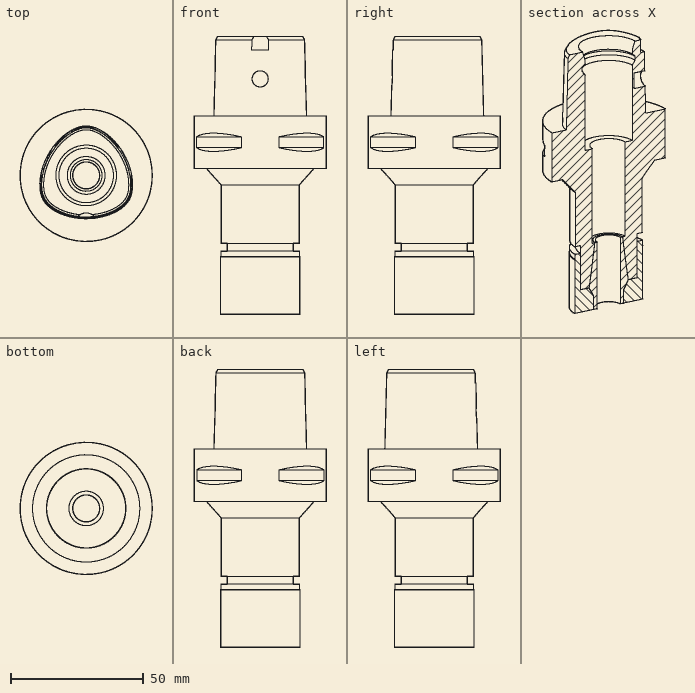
import cadquery as cq
import math

total_height = 105.0
flange_top = 75.0
flange_bottom = 55.0
cone_bottom = 48.9
barrel_bottom = 26.9
nut_top = 23.9
collar_bottom = 21.9

flange_radius = 25.0
cone_top_radius = 20.3
barrel_radius = 14.8
neck_radius = 12.5

shank_radius = 17.5
lobe_height = 1.2
shank_taper = 1 / 40
outline_points = 120
tip_chamfer_height = 1.4
tip_chamfer_width = 0.7

notch_depth = 5.1
notch_radius = 4.4
notch_center_y = -18.6
side_hole_radius = 3.0
side_hole_z = 88.9
side_hole_floor_y = -11.3

slot_count = 4
slot_floor_distance = 21.9
slot_floor_height = 4.1
slot_mouth_height = 6.9

bore_mouth_radius = 11.4
bore_radius = 10.3
groove_radius = 11.5
mouth_cone_height = 3.5
bore_lip_height = 1.6
groove_roof_height = 1.2
groove_wall_height = 1.6
groove_ramp_height = 1.8
bore_floor = 65.1
passage_radius = 7.1

collet_top = 27.0
collet_rear_radius = 6.0
collet_big_radius = 8.5
collet_nose_radius = 6.5
collet_bore_radius = 5.0
collet_half_angle = math.radians(8)
nose_half_angle = math.radians(30)
nut_radius = 15.0
collar_radius = 14.9
nut_step_height = 0.2

neck_end = collet_top - (collet_big_radius - collet_rear_radius) / math.tan(collet_half_angle)
nose_start = neck_end - (collet_big_radius - collet_nose_radius) / math.tan(nose_half_angle)


def revolved(points):
    """Solid turned about Z from a closed outline of (radius, height) points."""
    return cq.Workplane("XZ").polyline(points).close().revolve(360, (0, 0, 0), (0, 1, 0))


def shank_outline(mean_radius):
    """Constant-width curve whose tangents lie mean_radius + lobe_height * cos(3 * turn) from Z."""

    def point(t):
        turn = 2 * math.pi * t + math.pi
        reach = mean_radius + lobe_height * math.cos(3 * turn)
        slide = -3 * lobe_height * math.sin(3 * turn)
        x = -reach * math.sin(turn) - slide * math.cos(turn)
        y = reach * math.cos(turn) - slide * math.sin(turn)
        return x, y

    return point


def shank_section(base_z, base_radius, height, top_radius):
    """Straight-sided stretch of shank between two parallel outlines."""
    return (
        cq.Workplane("XY", origin=(0, 0, base_z))
        .parametricCurve(shank_outline(base_radius), N=outline_points)
        .workplane(offset=height)
        .parametricCurve(shank_outline(top_radius), N=outline_points)
        .loft(ruled=True)
    )


def make_shank():
    taper_height = total_height - tip_chamfer_height - flange_top
    tip_radius = shank_radius - shank_taper * taper_height
    chamfer_base = flange_top + taper_height
    taper = shank_section(flange_top, shank_radius, taper_height, tip_radius)
    tip = shank_section(chamfer_base, tip_radius, tip_chamfer_height, tip_radius - tip_chamfer_width)
    return taper.union(tip)


def make_gripper_slot(angle):
    """Cutter for a flat-floored slot across the flange rim, with sloping flanks."""
    flange_middle = (flange_top + flange_bottom) / 2
    depth = flange_radius - slot_floor_distance
    flare = (slot_mouth_height - slot_floor_height) / 2 / depth
    outer_distance = flange_radius + depth
    floor_half_height = slot_floor_height / 2
    outer_half_height = floor_half_height + (outer_distance - slot_floor_distance) * flare
    return (
        cq.Workplane("XZ")
        .polyline([
            (slot_floor_distance, flange_middle - floor_half_height),
            (outer_distance, flange_middle - outer_half_height),
            (outer_distance, flange_middle + outer_half_height),
            (slot_floor_distance, flange_middle + floor_half_height),
        ])
        .close()
        .extrude(flange_radius, both=True)
        .rotate((0, 0, 0), (0, 0, 1), angle)
    )


def make_bore():
    """Cutter for everything inside the holder: shank bore, passage and collet seat."""
    mouth_bottom = total_height - mouth_cone_height
    lip_bottom = mouth_bottom - bore_lip_height
    groove_top = lip_bottom - groove_roof_height
    groove_bottom = groove_top - groove_wall_height
    ramp_bottom = groove_bottom - groove_ramp_height
    return revolved([
        (0, total_height),
        (bore_mouth_radius, total_height),
        (bore_radius, mouth_bottom),
        (bore_radius, lip_bottom),
        (groove_radius, groove_top),
        (groove_radius, groove_bottom),
        (bore_radius, ramp_bottom),
        (bore_radius, bore_floor),
        (passage_radius, bore_floor),
        (passage_radius, collet_top),
        (collet_rear_radius, collet_top),
        (collet_big_radius, neck_end),
        (0, neck_end),
    ])


def make_holder():
    body = revolved([
        (0, flange_top),
        (flange_radius, flange_top),
        (flange_radius, flange_bottom),
        (cone_top_radius, flange_bottom),
        (barrel_radius, cone_bottom),
        (barrel_radius, barrel_bottom),
        (neck_radius, barrel_bottom),
        (neck_radius, neck_end),
        (0, neck_end),
    ])
    holder = body.union(make_shank()).cut(make_bore())

    notch = (
        cq.Workplane("XY", origin=(0, notch_center_y, total_height))
        .circle(notch_radius)
        .extrude(-notch_depth)
    )
    side_hole = (
        cq.Workplane("XZ", origin=(0, side_hole_floor_y, side_hole_z))
        .circle(side_hole_radius)
        .extrude(flange_radius + side_hole_floor_y)
    )
    holder = holder.cut(notch).cut(side_hole)

    slot_spacing = 360 / slot_count
    for index in range(slot_count):
        holder = holder.cut(make_gripper_slot((index + 0.5) * slot_spacing))
    return holder


def make_nut():
    """Clamping nut, screwed over the neck and closing on the collet nose."""
    return revolved([
        (neck_radius, nut_top),
        (collar_radius, nut_top),
        (collar_radius, collar_bottom),
        (nut_radius, collar_bottom - nut_step_height),
        (nut_radius, 0),
        (collet_nose_radius, 0),
        (collet_nose_radius, nose_start),
        (collet_big_radius, neck_end),
        (neck_radius, neck_end),
    ])


def make_collet():
    """Tapered collet filling the holder seat, with a reverse cone and nose inside the nut."""
    return revolved([
        (collet_bore_radius, collet_top),
        (collet_rear_radius, collet_top),
        (collet_big_radius, neck_end),
        (collet_nose_radius, nose_start),
        (collet_nose_radius, 0),
        (collet_bore_radius, 0),
    ])


holder = make_holder()
nut = make_nut()
collet = make_collet()

result = cq.Compound.makeCompound([holder.solids().val(), nut.val(), collet.val()])